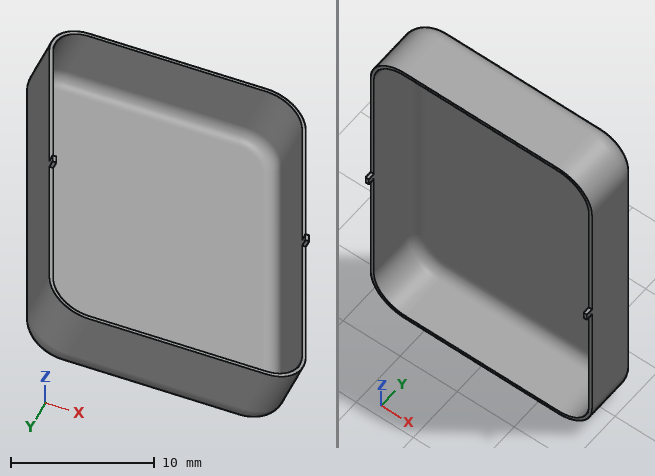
import cadquery as cq

width = 19.4
height = 28.8
tray_depth = 5.0
wall = 0.3
corner_radius = 3.0
floor_edge_radius = 1.3

tab_length = 0.58
tab_height = 0.6


def rounded_block(inset):
    """Tray-shaped solid, inset from the outer sides and floor, with its rim at Y = 0."""
    return (
        cq.Workplane("XZ")
        .rect(width - 2 * inset, height - 2 * inset)
        .extrude(-(tray_depth - inset))
        .edges("|Y")
        .fillet(corner_radius - inset)
        .faces(">Y")
        .edges()
        .fillet(floor_edge_radius - inset)
    )


def rim_tab(side):
    """Tab flush with the outer side wall, projecting from the rim toward -Y."""
    return (
        cq.Workplane("XZ")
        .center(side * (width - wall) / 2, 0)
        .rect(wall, tab_height)
        .extrude(tab_length)
    )


result = rounded_block(0).cut(rounded_block(wall))
for side in (-1, 1):
    result = result.union(rim_tab(side))